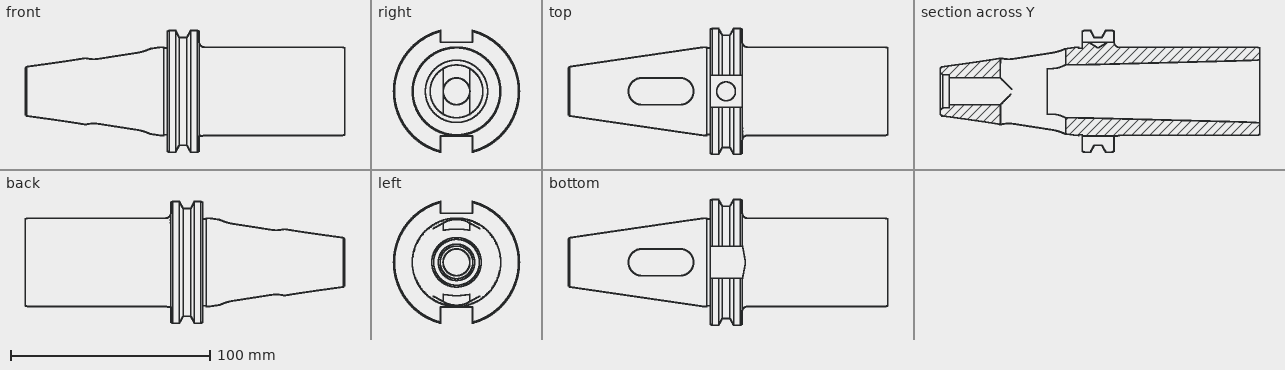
import cadquery as cq
import math

total_length = 160.5

body_radius = 44.5 / 2
taper_ratio = 7 / 48
taper_end = 68.0
neck_start = 69.5
neck_radius = 43.6 / 2
tip_chamfer = 0.8

flange_start = 71.2
flange_width = 16.0
flange_end = flange_start + flange_width
flange_radius = 63.2 / 2
flange_chamfer_length = 1.0
flange_chamfer_depth = 0.5
groove_center = 79.3
groove_floor_width = 3.9
groove_mouth_width = 7.5
groove_floor_radius = 28.2
fillet_radius = 2.7

end_chamfer_length = 1.3
end_chamfer_radius = neck_radius

drive_slot_width = 16.0
upper_slot_floor = 24.7
lower_slot_floor = 22.5
dimple_diameter = 9.5
dimple_angle = 118.0

ejector_start = 30.3
ejector_length = 32.5
ejector_width = 13.3

through_radius = 13.3 / 2
counterbore_radius = 16.4 / 2
counterbore_depth = 4.5
counterbore_chamfer_radius = 18.3 / 2
counterbore_chamfer_length = 1.5

socket_mouth_radius = 31.3 / 2
socket_relief_radius = 26.5 / 2
socket_slope = 1 / (2 * 19.254)
socket_relief_start = 53.8
socket_taper_start = total_length - (socket_mouth_radius - socket_relief_radius) / socket_slope


def revolve_about_x(profile):
    """Revolve a closed XY profile around the X axis."""
    return profile.close().revolve(360, (0, 0, 0), (1, 0, 0))


def make_body():
    tip_radius = body_radius - taper_end * taper_ratio
    chamfer_base_radius = tip_radius + tip_chamfer * taper_ratio
    groove_mouth_start = groove_center - groove_mouth_width / 2
    groove_mouth_end = groove_center + groove_mouth_width / 2
    groove_floor_start = groove_center - groove_floor_width / 2
    groove_floor_end = groove_center + groove_floor_width / 2
    flange_rim_radius = flange_radius - flange_chamfer_depth
    fillet_offset = fillet_radius * (1 - math.sqrt(0.5))
    profile = (
        cq.Workplane("XY")
        .lineTo(0, tip_radius - tip_chamfer)
        .lineTo(tip_chamfer, chamfer_base_radius)
        .lineTo(taper_end, body_radius)
        .lineTo(neck_start, body_radius)
        .lineTo(neck_start, neck_radius)
        .lineTo(flange_start, neck_radius)
        .lineTo(flange_start, flange_rim_radius)
        .lineTo(flange_start + flange_chamfer_length, flange_radius)
        .lineTo(groove_mouth_start, flange_radius)
        .lineTo(groove_floor_start, groove_floor_radius)
        .lineTo(groove_floor_end, groove_floor_radius)
        .lineTo(groove_mouth_end, flange_radius)
        .lineTo(flange_end - flange_chamfer_length, flange_radius)
        .lineTo(flange_end, flange_rim_radius)
        .lineTo(flange_end, body_radius + fillet_radius)
        .threePointArc(
            (flange_end + fillet_offset, body_radius + fillet_offset),
            (flange_end + fillet_radius, body_radius),
        )
        .lineTo(total_length - end_chamfer_length, body_radius)
        .lineTo(total_length, end_chamfer_radius)
        .lineTo(total_length, 0)
    )
    return revolve_about_x(profile)


def make_bore():
    """Stepped hole along the whole axis, ending in the Morse socket."""
    profile = (
        cq.Workplane("XY")
        .lineTo(0, counterbore_chamfer_radius)
        .lineTo(counterbore_chamfer_length, counterbore_radius)
        .lineTo(counterbore_depth, counterbore_radius)
        .lineTo(counterbore_depth, through_radius)
        .lineTo(socket_relief_start, through_radius)
        .lineTo(socket_relief_start, socket_relief_radius)
        .lineTo(socket_taper_start, socket_relief_radius)
        .lineTo(total_length, socket_mouth_radius)
        .lineTo(total_length, 0)
    )
    return revolve_about_x(profile)


def make_ejector_slot():
    return (
        cq.Workplane("XY")
        .center(ejector_start + ejector_length / 2, 0)
        .slot2D(ejector_length, ejector_width)
        .extrude(body_radius, both=True)
    )


def make_drive_slot(floor_height, side):
    """Slot over the flange and its rear fillet; side is +1 above the axis and -1 below."""
    length = flange_width + fillet_radius
    depth = flange_radius - floor_height
    return (
        cq.Workplane("XY")
        .box(length, drive_slot_width, depth)
        .translate((flange_start + length / 2, 0, side * (floor_height + depth / 2)))
    )


def make_dimple():
    """Conical drill point in the floor of the upper drive slot."""
    radius = dimple_diameter / 2
    depth = radius / math.tan(math.radians(dimple_angle / 2))
    cone = cq.Solid.makeCone(
        radius, 0, depth, pnt=cq.Vector(groove_center, 0, upper_slot_floor), dir=cq.Vector(0, 0, -1)
    )
    return cq.Workplane(obj=cone)


result = (
    make_body()
    .cut(make_bore())
    .cut(make_ejector_slot())
    .cut(make_drive_slot(upper_slot_floor, 1))
    .cut(make_drive_slot(lower_slot_floor, -1))
    .cut(make_dimple())
)